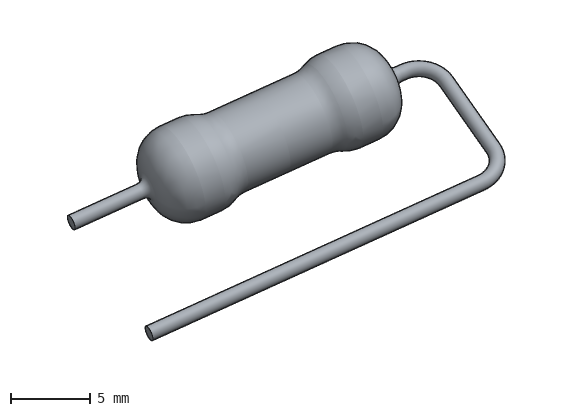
import cadquery as cq
import math

wire_diameter = 1.0
wire_radius = wire_diameter / 2
total_length = 26.6
lead_spacing = 10.0
bend_radius = 2.0

body_length = 17.55
body_start = 5.59
cap_radius = 6.5 / 2
waist_radius = 5.53 / 2
dome_radius = 2.35
cap_straight = 1.44
flare_length = 1.95
collar_fillet = 0.6

body_middle = body_start + body_length / 2


def half_body():
    """Revolve the half of the body on the +Y side, from its middle to its collar."""
    dome_base = body_start + body_length - dome_radius
    flare_outer = dome_base - cap_straight
    flare_inner = flare_outer - flare_length
    flare_middle = (flare_outer + flare_inner) / 2
    flare_radius = (cap_radius + waist_radius) / 2

    dome_centre_x = cap_radius - dome_radius
    collar_x = wire_radius + collar_fillet
    offset_x = collar_x - dome_centre_x
    centre_distance = dome_radius + collar_fillet
    offset_y = math.sqrt(centre_distance**2 - offset_x**2)
    contact_share = dome_radius / centre_distance
    contact = (dome_centre_x + contact_share * offset_x, dome_base + contact_share * offset_y)
    collar_end = (wire_radius, dome_base + offset_y)

    profile = (
        cq.Workplane("XY")
        .moveTo(0, body_middle)
        .lineTo(waist_radius, body_middle)
        .lineTo(waist_radius, flare_inner)
        .tangentArcPoint((flare_radius, flare_middle), relative=False)
        .tangentArcPoint((cap_radius, flare_outer), relative=False)
        .lineTo(cap_radius, dome_base)
        .tangentArcPoint(contact, relative=False)
        .tangentArcPoint(collar_end, relative=False)
        .lineTo(0, collar_end[1])
        .close()
    )
    return profile.revolve(360, (0, 0, 0), (0, 1, 0))


def bent_wire():
    """Sweep the wire along +Y through the body, across in X and back to Y = 0."""
    top_y = total_length - wire_radius
    bend_y = top_y - bend_radius
    path = (
        cq.Workplane("XY")
        .lineTo(0, bend_y)
        .tangentArcPoint((bend_radius, top_y), relative=False)
        .lineTo(lead_spacing - bend_radius, top_y)
        .tangentArcPoint((lead_spacing, bend_y), relative=False)
        .lineTo(lead_spacing, 0)
    )
    return cq.Workplane("XZ").circle(wire_radius).sweep(path)


upper_half = half_body()
lower_half = upper_half.mirror("XZ", (0, body_middle, 0))
result = upper_half.union(lower_half).union(bent_wire())